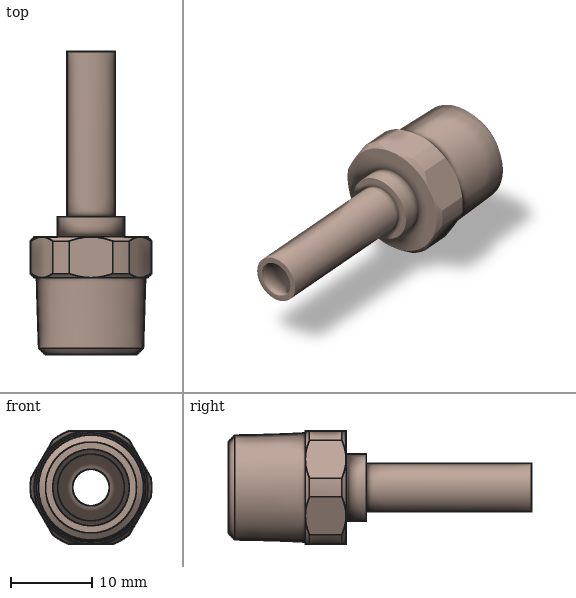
import cadquery as cq
import math

overall_length = 37.4

thread_end = 9.5
gauge_plane = 4.5
gauge_radius = 6.6
taper = 1 / 32
tip_radius = 5.6
tip_chamfer_length = 0.82

across_flats = 14.0
corner_diameter = 15.0
hex_length = 5.0

collar_radius = 4.15
collar_length = 2.5
tube_radius = 3.0

mouth_radius = 4.7
step_radius = 4.1
bore_radius = 2.25

hex_end = thread_end + hex_length
collar_end = hex_end + collar_length
mouth_depth = thread_end
step_depth = thread_end + hex_length / 2


def cylinder(radius, start, end):
    """Round bar along +Y between two stations."""
    plane = cq.Workplane("XZ", origin=(0, start, 0))
    return plane.circle(radius).extrude(start - end)


def revolved(profile):
    """Turn (radius, station) points about the Y axis."""
    return cq.Workplane("XY").polyline(profile).close().revolve(360, (0, 0, 0), (0, 1, 0))


def cone_radius(station):
    return gauge_radius + taper * (station - gauge_plane)


def make_thread_end():
    return revolved([
        (0, 0),
        (tip_radius, 0),
        (cone_radius(tip_chamfer_length), tip_chamfer_length),
        (cone_radius(thread_end), thread_end),
        (0, thread_end),
    ])


def make_hexagon():
    """Hexagon with corners on the X axis, its corners rounded and chamfered at 45 degrees."""
    corner_to_corner = across_flats / math.cos(math.pi / 6)
    plane = cq.Workplane("XZ", origin=(0, thread_end, 0))
    hexagon = plane.polygon(6, corner_to_corner).extrude(-hex_length)
    chamfer = (corner_diameter - across_flats) / 2
    envelope = cylinder(corner_diameter / 2, thread_end, hex_end).edges().chamfer(chamfer)
    return hexagon.intersect(envelope)


def make_bore():
    mouth = cylinder(mouth_radius, 0, mouth_depth)
    step = cylinder(step_radius, 0, step_depth)
    passage = cylinder(bore_radius, 0, overall_length)
    return mouth.union(step).union(passage)


collar = cylinder(collar_radius, thread_end, collar_end)
tube = cylinder(tube_radius, thread_end, overall_length)
body = make_thread_end().union(make_hexagon()).union(collar).union(tube)
result = body.cut(make_bore())